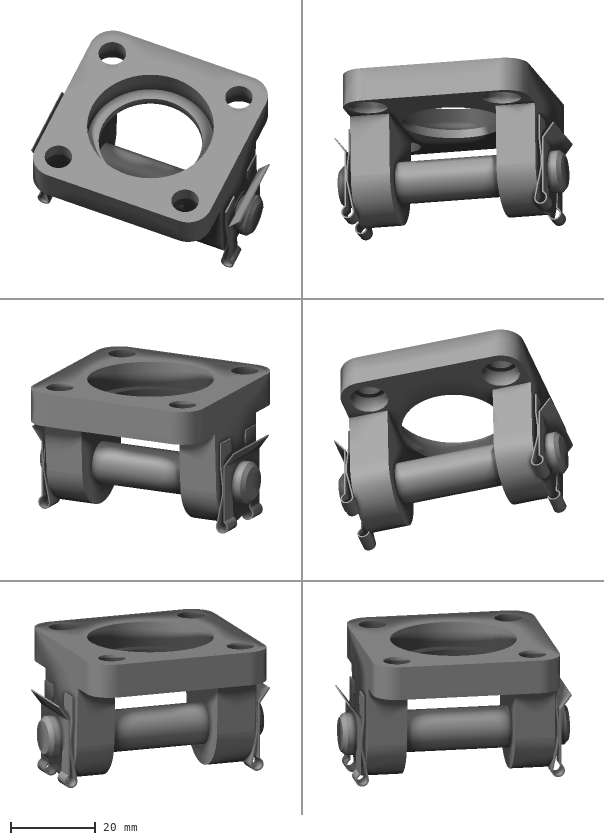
import cadquery as cq
import math


plate_side = 45.0
plate_thickness = 8.0
plate_top = 22.0
plate_corner_radius = 5.65
bolt_hole_diameter = 6.5
bolt_recess_diameter = 9.05
bolt_recess_depth = 4.3
bolt_hole_pitch = 32.55
bolt_pattern_offset = -0.3
bore_diameter = 24.5
counterbore_diameter = 30.0
counterbore_depth = 6.0
lug_gap = 26.0
lug_tip_radius = 10.05
lug_side_taper = 3.0

pin_length = 54.5
pin_diameter = 10.05
pin_end_chamfer = 1.0
groove_diameter = 8.0
groove_inner_x = 22.7
groove_outer_x = 24.0

sheet = 0.35
clip_width = 18.25
outer_leg_face_x = 24.25
flare_start_z = 5.95
flare_length = 4.35
flare_angle = 36.5
loop_center_x = 23.55
loop_bottom_z = -10.6
loop_outer_radius = 1.6
neck_angle = 45.0
contact_x = 23.7
contact_low_z = -1.1
contact_high_z = 1.1
tab_x = 23.15
tab_low_z = 6.0
tab_top_z = 11.5

outer_hole_radius = 5.25
outer_hole_z = -0.2
slot_mouth_half_width = 4.05
snap_neck_half_width = 3.65
snap_neck_z = 8.7
snap_neck_return = 0.85
web_edge_radius = 8.0
web_notch_half_width = 3.75
web_notch_corner_radius = 0.65

plate_bottom = plate_top - plate_thickness
pin_radius = pin_diameter / 2
groove_radius = groove_diameter / 2
loop_center_z = loop_bottom_z + loop_outer_radius
loop_inner_radius = loop_outer_radius - sheet
loop_middle_radius = loop_outer_radius - sheet / 2
outer_leg_middle_x = outer_leg_face_x - sheet / 2


def x_cylinder(radius, start_x, end_x, center_z=0.0):
    return (
        cq.Workplane("YZ", origin=(start_x, 0, center_z))
        .circle(radius)
        .extrude(end_x - start_x)
    )


def x_prism(outline, start_x, end_x):
    """Closed (y, z) outline extruded along X."""
    return cq.Workplane("YZ", origin=(start_x, 0, 0)).polyline(outline).close().extrude(end_x - start_x)


def make_plate():
    plate = (
        cq.Workplane("XY", origin=(0, 0, plate_bottom))
        .rect(plate_side, plate_side)
        .extrude(plate_thickness)
        .edges("|Z")
        .fillet(plate_corner_radius)
    )
    return plate.faces(">Z").workplane().cboreHole(bore_diameter, counterbore_diameter, counterbore_depth)


def cut_bolt_holes(housing):
    """Four bolt holes, each with a wider recess in the underside of the plate."""
    hole_centers = (
        cq.Workplane("XY", origin=(bolt_pattern_offset, bolt_pattern_offset, plate_bottom))
        .rect(bolt_hole_pitch, bolt_hole_pitch, forConstruction=True)
        .vertices()
    )
    holes = hole_centers.circle(bolt_hole_diameter / 2).extrude(plate_thickness)
    recesses = hole_centers.circle(bolt_recess_diameter / 2).extrude(bolt_recess_depth)
    return housing.cut(holes).cut(recesses)


def make_lugs():
    """Two lugs whose tapered sides run tangent into a round tip about the pin axis."""
    taper = math.radians(lug_side_taper)
    tangent_y = lug_tip_radius * math.cos(taper)
    tangent_z = -lug_tip_radius * math.sin(taper)
    root_y = tangent_y + (plate_bottom - tangent_z) * math.tan(taper)
    lug_bar = (
        cq.Workplane("YZ", origin=(-plate_side / 2, 0, 0))
        .moveTo(-root_y, plate_bottom)
        .lineTo(-tangent_y, tangent_z)
        .threePointArc((0, -lug_tip_radius), (tangent_y, tangent_z))
        .lineTo(root_y, plate_bottom)
        .close()
        .extrude(plate_side)
    )
    gap = cq.Workplane("XY").box(lug_gap, plate_side, 2 * plate_bottom)
    return lug_bar.cut(gap)


def make_pin():
    pin = x_cylinder(pin_radius, -pin_length / 2, pin_length / 2).faces("<X or >X").chamfer(pin_end_chamfer)
    ring = x_cylinder(pin_radius, groove_inner_x, groove_outer_x).cut(
        x_cylinder(groove_radius, groove_inner_x, groove_outer_x)
    )
    return pin.cut(ring).cut(ring.mirror("YZ"))


def offset_path(path, distance):
    """Path moved sideways to its left by the distance, with mitred corners."""
    normals = []
    for (x0, z0), (x1, z1) in zip(path, path[1:]):
        length = math.hypot(x1 - x0, z1 - z0)
        normals.append(((z0 - z1) / length, (x1 - x0) / length))
    moved = []
    for (x, z), before, after in zip(path, normals[:1] + normals, normals + normals[-1:]):
        mitre = distance / (1 + before[0] * after[0] + before[1] * after[1])
        moved.append((x + mitre * (before[0] + after[0]), z + mitre * (before[1] + after[1])))
    return moved


def loop_point(radius, angle):
    return (loop_center_x + radius * math.cos(angle), loop_center_z + radius * math.sin(angle))


def make_clip_strip():
    """Bent sheet: flared outer leg, round loop below, then the kinked inner leg up to its tab."""
    reach_x = contact_x - loop_center_x
    reach_z = contact_low_z - loop_center_z
    reach = math.hypot(reach_x, reach_z)
    tangent_angle = math.atan2(reach_z, reach_x) + math.acos(loop_middle_radius / reach)
    inner_path = [
        loop_point(loop_middle_radius, tangent_angle),
        (contact_x, contact_low_z),
        (contact_x, contact_high_z),
        (tab_x, tab_low_z),
        (tab_x, tab_top_z),
    ]

    neck = math.radians(neck_angle)
    neck_reach = loop_middle_radius - (outer_leg_middle_x - loop_center_x) * math.cos(neck)
    neck_corner = (outer_leg_middle_x, loop_center_z + neck_reach / math.sin(neck))
    flare = math.radians(flare_angle)
    flare_tip = (
        outer_leg_middle_x + flare_length * math.sin(flare),
        flare_start_z + flare_length * math.cos(flare),
    )
    outer_path = [
        flare_tip,
        (outer_leg_middle_x, flare_start_z),
        neck_corner,
        loop_point(loop_middle_radius, neck),
    ]

    outer_leg_outside = offset_path(outer_path, sheet / 2)
    outer_leg_inside = offset_path(outer_path, -sheet / 2)
    inner_leg_outside = offset_path(inner_path, sheet / 2)
    inner_leg_inside = offset_path(inner_path, -sheet / 2)
    loop_low_angle = -math.pi / 2
    return (
        cq.Workplane("XZ", origin=(0, clip_width / 2, 0))
        .polyline(outer_leg_outside)
        .threePointArc(loop_point(loop_outer_radius, loop_low_angle), inner_leg_outside[0])
        .polyline(inner_leg_outside[1:] + inner_leg_inside[::-1], includeCurrent=True)
        .threePointArc(loop_point(loop_inner_radius, loop_low_angle), outer_leg_inside[-1])
        .polyline(outer_leg_inside[-2::-1], includeCurrent=True)
        .close()
        .extrude(clip_width)
    )


def cut_outer_leg_slot(clip):
    """Hole around the pin head, open downwards through a narrowing slot that also splits the loop."""
    outer_leg_inner_x = outer_leg_face_x - sheet
    loop_top_z = loop_center_z + loop_outer_radius
    taper = (outer_hole_radius - slot_mouth_half_width) / (outer_hole_z - loop_bottom_z)
    loop_half_width = slot_mouth_half_width + taper * (loop_top_z - loop_bottom_z)

    def tapered_slot(top_half_width, top_z, start_x):
        outline = [
            (-top_half_width, top_z),
            (top_half_width, top_z),
            (slot_mouth_half_width, loop_bottom_z),
            (-slot_mouth_half_width, loop_bottom_z),
        ]
        return x_prism(outline, start_x, loop_center_x + loop_outer_radius)

    return (
        clip.cut(x_cylinder(outer_hole_radius, outer_leg_inner_x, outer_leg_face_x, outer_hole_z))
        .cut(tapered_slot(outer_hole_radius, outer_hole_z, outer_leg_inner_x))
        .cut(tapered_slot(loop_half_width, loop_top_z, loop_center_x))
    )


def cut_groove_seat(clip):
    """Snap-in opening of the inner leg: round seat in the pin groove below a necked entry."""
    right_side = [
        (groove_radius, 0),
        (groove_radius, snap_neck_z - snap_neck_return),
        (snap_neck_half_width, snap_neck_z),
        (groove_radius, tab_top_z),
    ]
    left_side = [(-y, z) for y, z in reversed(right_side)]
    inner_leg_outer_x = contact_x + sheet / 2
    return clip.cut(x_prism(right_side + left_side, 0, inner_leg_outer_x)).cut(
        x_cylinder(groove_radius, 0, inner_leg_outer_x)
    )


def cut_web_notch(clip):
    """Notch under the inner leg's web, with a round edge about the pin axis and rounded corners."""
    notch = (
        x_prism(
            [
                (-web_notch_half_width, 0),
                (web_notch_half_width, 0),
                (slot_mouth_half_width, loop_bottom_z),
                (-slot_mouth_half_width, loop_bottom_z),
            ],
            0,
            loop_center_x,
        )
        .cut(x_cylinder(web_edge_radius, 0, loop_center_x))
        .edges("|X")
        .edges(">Z")
        .fillet(web_notch_corner_radius)
    )
    return clip.cut(notch)


def make_clip():
    return cut_web_notch(cut_groove_seat(cut_outer_leg_slot(make_clip_strip())))


def make_housing(clips):
    """Flange with lugs, bored for the pin and relieved where the clip loops press into the lugs."""
    housing = cut_bolt_holes(make_plate().union(make_lugs()))
    housing = housing.cut(x_cylinder(pin_radius, -plate_side / 2, plate_side / 2))
    for clip in clips:
        housing = housing.cut(clip)
    return housing


pin = make_pin()
right_clip = make_clip()
clips = [right_clip, right_clip.mirror("YZ")]
housing = make_housing(clips)

result = cq.Compound.makeCompound([housing.val(), pin.val(), *[clip.val() for clip in clips]])